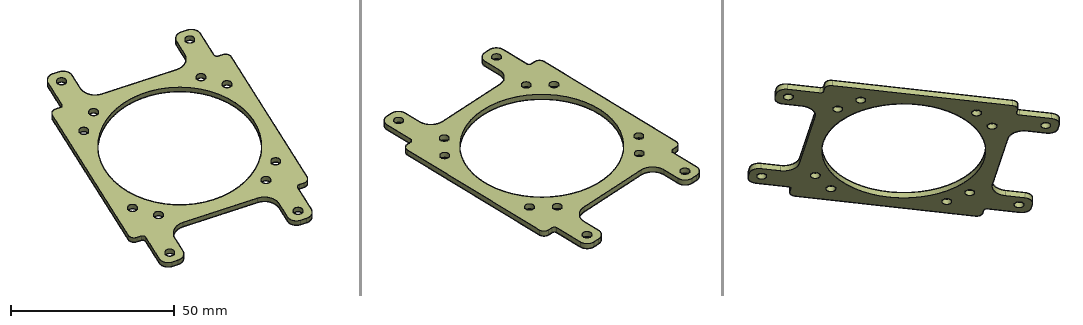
import cadquery as cq

thickness = 2.0
body_size = 60.0
body_corner_radius = 2.0
bore_diameter = 50.0

overall_length = 88.0
tab_width = 8.0
tab_hole_x = 40.0
tab_y = 21.5
tab_corner_radius = 3.0
outer_root_radius = 1.0
inner_root_radius = 5.0

hole_diameter = 3.0
body_hole_near = 18.0
body_hole_far = 24.0

half_body = body_size / 2
half_length = overall_length / 2
tab_outer_y = tab_y + tab_width / 2
tab_inner_y = tab_y - tab_width / 2
signs = (-1, 1)


def mirrored_points(x, y):
    """Return the point (x, y) repeated in all four quadrants."""
    return [(sign_x * x, sign_y * y) for sign_x in signs for sign_y in signs]


def round_edges(plate, points, radius):
    """Fillet the vertical edges that pass through the given points."""
    for x, y in points:
        edge = cq.selectors.NearestToPointSelector((x, y, thickness / 2))
        plate = plate.edges("|Z").edges(edge).fillet(radius)
    return plate


def make_plate():
    """Square body crossed by two bars whose ends form the four tabs."""
    plate = cq.Workplane("XY").rect(body_size, body_size).extrude(thickness)
    bars = (
        cq.Workplane("XY")
        .pushPoints([(0, sign * tab_y) for sign in signs])
        .rect(overall_length, tab_width)
        .extrude(thickness)
    )
    return plate.union(bars).clean()


def round_outline(plate):
    """Round the body corners, the tab corners and the tab roots."""
    plate = round_edges(plate, mirrored_points(half_body, half_body), body_corner_radius)
    plate = round_edges(plate, mirrored_points(half_length, tab_outer_y), tab_corner_radius)
    plate = round_edges(plate, mirrored_points(half_length, tab_inner_y), tab_corner_radius)
    plate = round_edges(plate, mirrored_points(half_body, tab_outer_y), outer_root_radius)
    return round_edges(plate, mirrored_points(half_body, tab_inner_y), inner_root_radius)


def cut_holes(plate):
    """Cut the central bore and all screw holes through the plate."""
    hole_points = (
        mirrored_points(tab_hole_x, tab_y)
        + mirrored_points(body_hole_near, body_hole_far)
        + mirrored_points(body_hole_far, body_hole_near)
    )
    top = plate.faces(">Z").workplane(origin=(0, 0, thickness))
    plate = top.circle(bore_diameter / 2).cutThruAll()
    top = plate.faces(">Z").workplane(origin=(0, 0, thickness))
    return top.pushPoints(hole_points).circle(hole_diameter / 2).cutThruAll()


result = cut_holes(round_outline(make_plate()))